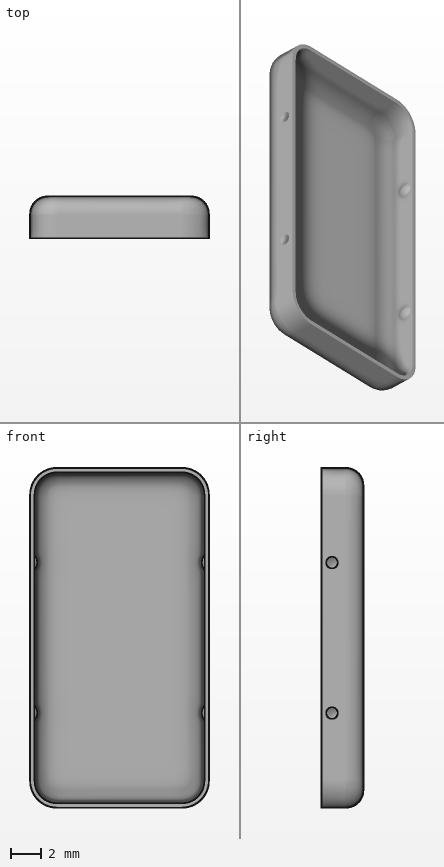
import cadquery as cq

width = 11.9
depth = 2.8
height = 22.6
wall = 0.3
corner_radius = 1.8
floor_edge_radius = 1.2

dimple_radius = 0.5
dimple_depth = 0.18
bump_radius = dimple_radius + wall
dent_center_x = width / 2 - dimple_depth + dimple_radius
dent_setback = 0.7
dent_spacing = 10.0


def rounded_block(inset):
    """Solid with rounded corners, its sides and floor moved inward by inset."""
    block = (
        cq.Workplane("XZ")
        .rect(width - 2 * inset, height - 2 * inset)
        .extrude(-(depth - inset))
    )
    block = block.edges("|Y").fillet(corner_radius - inset)
    return block.faces(">Y").edges().fillet(floor_edge_radius - inset)


def cut_dents(block, ball_radius):
    """Hollow the four dents into the long sides of a block with balls of one radius."""
    right_ball = cq.Workplane("XY").sphere(ball_radius)
    left_ball = right_ball.rotate((0, 0, 0), (0, 0, 1), 180)
    for side, ball in ((1, right_ball), (-1, left_ball)):
        for end in (-1, 1):
            center = (side * dent_center_x, dent_setback, end * dent_spacing / 2)
            block = block.cut(ball.translate(center))
    return block


body = cut_dents(rounded_block(0), dimple_radius)
cavity = cut_dents(rounded_block(wall), bump_radius)
result = body.cut(cavity)